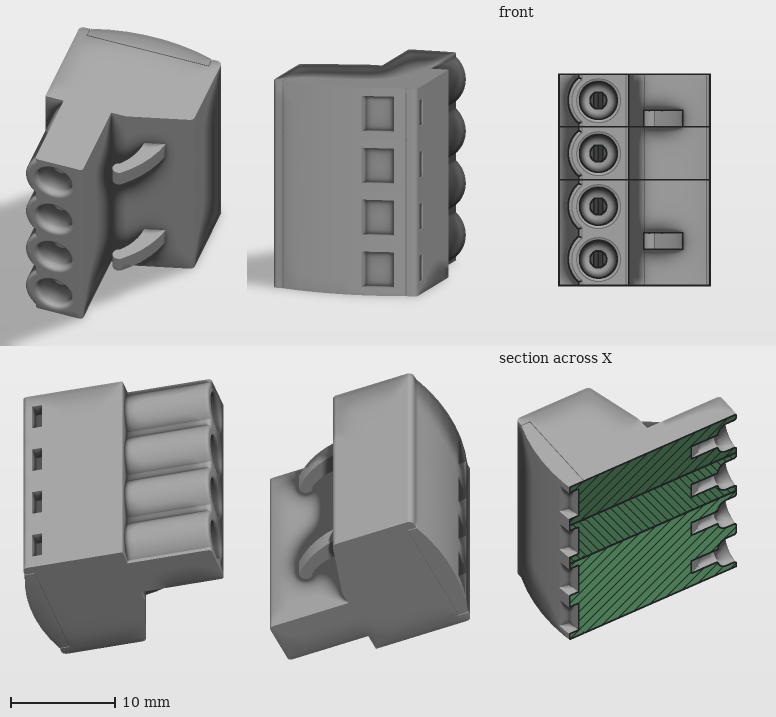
import cadquery as cq
import math


pitch = 5.08
module_poles = [2, 1, 1]

width = 14.5
plug_length = 8.3
shoulder_y = 18.3
slope_start_x = 8.2
slope_angle = math.radians(15)
corner_radius = 0.5

cap_inset = 1.0
cap_depth = 1.0
dome_rise = 1.0
groove_width = 0.1
groove_depth = 0.1

web_x = 1.88
plug_right_x = 6.72
barrel_x = 3.78
barrel_radius = 2.9
tip_fillet = 0.33

socket_radius = 1.81
socket_depth = 2.1
socket_floor_fillet = 1.0
socket_entry_fillet = 0.3
contact_radius = 0.8
contact_depth = 2.0
slit_half_width = 0.44
slit_depth = 1.0

window_height = 2.56
window_length = 1.0
window_depth = 1.5
window_top_y = shoulder_y - cap_depth

pocket_offset = 3.55
pocket_length = 3.1
pocket_height = 3.5
pocket_depth = 1.0
pocket_slant = math.radians(12)

hook_thickness = 1.6
hook_root_y = 9.5
hook_inner_x = 9.9
hook_inner_start_y = 8.71
hook_inner_mid = (9.57, 6.93)
hook_inner_end = (8.65, 5.38)
hook_tip_mid = (8.24, 4.4)
hook_outer_end = (9.15, 4.22)
hook_outer_mid = (10.85, 6.4)
hook_outer_x = 11.9
hook_outer_start_y = 9.26
hook_bottoms = [pitch - hook_thickness, 3 * pitch]

centre_x = width / 2
peak_y = shoulder_y + dome_rise
dome_half_chord = centre_x - cap_inset
dome_radius = (dome_half_chord**2 + dome_rise**2) / (2 * dome_rise)
slope_end_y = plug_length + (width - slope_start_x) * math.tan(slope_angle)


def body(bottom, height):
    """Main block with its domed back."""
    block = (
        cq.Workplane("XY", origin=(0, 0, bottom))
        .moveTo(0, plug_length)
        .lineTo(slope_start_x, plug_length)
        .lineTo(width, slope_end_y)
        .lineTo(width, shoulder_y)
        .lineTo(0, shoulder_y)
        .close()
        .extrude(height)
    )
    block = block.edges("|Z and (>X or (<X and >Y))").fillet(corner_radius)
    dome = (
        cq.Workplane("XY", origin=(0, 0, bottom))
        .moveTo(cap_inset, shoulder_y)
        .threePointArc((centre_x, peak_y), (width - cap_inset, shoulder_y))
        .close()
        .extrude(height)
    )
    return block.union(dome)


def plug(bottom, height, pole_heights):
    """Plug tongue: a flat web with a round barrel bulging from it at each pole."""
    tongue = (
        cq.Workplane("XY")
        .box(plug_right_x - web_x, plug_length, height, centered=False)
        .translate((web_x, 0, bottom))
        .faces("<Y")
        .edges("|Z")
        .fillet(tip_fillet)
    )
    bulge_limit_x = web_x + tip_fillet
    for z in pole_heights:
        barrel = cq.Workplane("XZ", origin=(barrel_x, 0, z)).circle(barrel_radius).extrude(-plug_length)
        barrel = barrel.faces("<Y").edges().fillet(tip_fillet)
        bulge_space = cq.Workplane("XY").box(
            bulge_limit_x, plug_length, pitch, centered=(False, False, True)
        ).translate((0, 0, z))
        tongue = tongue.union(barrel.intersect(bulge_space))
    return tongue


def socket(z):
    """Cutter for the rounded socket, the contact hole and the V slit in its floor."""
    mouth_radius = socket_radius + socket_entry_fillet
    contact_floor = socket_depth + contact_depth
    diagonal = math.sqrt(0.5)
    entry_mid = (
        mouth_radius - socket_entry_fillet * diagonal,
        socket_entry_fillet * (1 - diagonal),
    )
    floor_mid = (
        socket_radius - socket_floor_fillet * (1 - diagonal),
        socket_depth - socket_floor_fillet * (1 - diagonal),
    )
    cavity = (
        cq.Workplane("XY")
        .moveTo(0, 0)
        .lineTo(mouth_radius, 0)
        .threePointArc(entry_mid, (socket_radius, socket_entry_fillet))
        .lineTo(socket_radius, socket_depth - socket_floor_fillet)
        .threePointArc(floor_mid, (socket_radius - socket_floor_fillet, socket_depth))
        .lineTo(contact_radius, socket_depth)
        .lineTo(contact_radius, contact_floor)
        .lineTo(0, contact_floor)
        .close()
        .revolve(360, (0, 0, 0), (0, 1, 0))
    )
    slit = (
        cq.Workplane("XY", origin=(0, 0, -contact_radius))
        .moveTo(-slit_half_width, contact_floor)
        .lineTo(slit_half_width, contact_floor)
        .lineTo(0, contact_floor + slit_depth)
        .close()
        .extrude(2 * contact_radius)
    )
    return cavity.union(slit).translate((barrel_x, 0, z))


def window(z):
    """Cutter for the rectangular window in the -X side."""
    return cq.Workplane("XY").box(
        window_depth, window_length, window_height, centered=(False, False, True)
    ).translate((0, window_top_y - window_length, z))


def dome_y(x):
    """Y of the dome surface at a given X."""
    return peak_y - dome_radius + math.sqrt(dome_radius**2 - (x - centre_x) ** 2)


def tool_pocket(z):
    """Cutter for the tool pocket, whose end walls lean towards -X as they go down."""
    left_x = centre_x - pocket_offset - pocket_length / 2
    right_x = left_x + pocket_length
    lean = pocket_depth * math.tan(pocket_slant)
    left_y = dome_y(left_x)
    right_y = dome_y(right_x)
    return (
        cq.Workplane("XY", origin=(0, 0, z - pocket_height / 2))
        .moveTo(left_x - lean, left_y - pocket_depth)
        .lineTo(right_x - lean, right_y - pocket_depth)
        .lineTo(right_x + lean, right_y + pocket_depth)
        .lineTo(left_x + lean, left_y + pocket_depth)
        .close()
        .extrude(pocket_height)
    )


def groove_prism(length, depth_from_shoulder, bottom, height):
    """Block centred across the housing, reaching down from the peak level into the cap seat."""
    floor_y = shoulder_y - depth_from_shoulder
    return cq.Workplane("XY").box(
        length, peak_y - floor_y, height, centered=(True, False, False)
    ).translate((centre_x, floor_y, bottom))


def cap_groove(bottom, height):
    """Cutter for the shallow groove around the cap, on both end faces and both shoulders."""
    outer_length = width - 2 * cap_inset
    inner_length = outer_length - 2 * groove_width
    seat = groove_prism(outer_length, cap_depth, bottom, height)
    cap = groove_prism(inner_length, cap_depth - groove_width, bottom, height)
    core = groove_prism(outer_length, cap_depth, bottom + groove_depth, height - 2 * groove_depth)
    shoulder_notches = groove_prism(outer_length, groove_depth, bottom, height)
    return seat.cut(core).union(shoulder_notches).cut(cap)


def hook(bottom):
    """Curved latch finger with a rounded tip, rooted inside the sloped face."""
    return (
        cq.Workplane("XY", origin=(0, 0, bottom))
        .moveTo(hook_inner_x, hook_root_y)
        .lineTo(hook_inner_x, hook_inner_start_y)
        .threePointArc(hook_inner_mid, hook_inner_end)
        .threePointArc(hook_tip_mid, hook_outer_end)
        .threePointArc(hook_outer_mid, (hook_outer_x, hook_outer_start_y))
        .lineTo(hook_outer_x, hook_root_y)
        .close()
        .extrude(hook_thickness)
    )


def terminal_module(first_pole, poles):
    """One module as a single solid, starting at the given pole of the stack."""
    bottom = first_pole * pitch
    height = poles * pitch
    top = bottom + height
    pole_heights = [bottom + (i + 0.5) * pitch for i in range(poles)]
    module = body(bottom, height).union(plug(bottom, height, pole_heights))
    for z in pole_heights:
        module = module.cut(socket(z)).cut(window(z)).cut(tool_pocket(z))
    module = module.cut(cap_groove(bottom, height))
    for hook_bottom in hook_bottoms:
        if bottom <= hook_bottom < top:
            module = module.union(hook(hook_bottom))
    return module


modules = []
for index, poles in enumerate(module_poles):
    modules.append(terminal_module(sum(module_poles[:index]), poles))

result = cq.Compound.makeCompound([module.val() for module in modules])